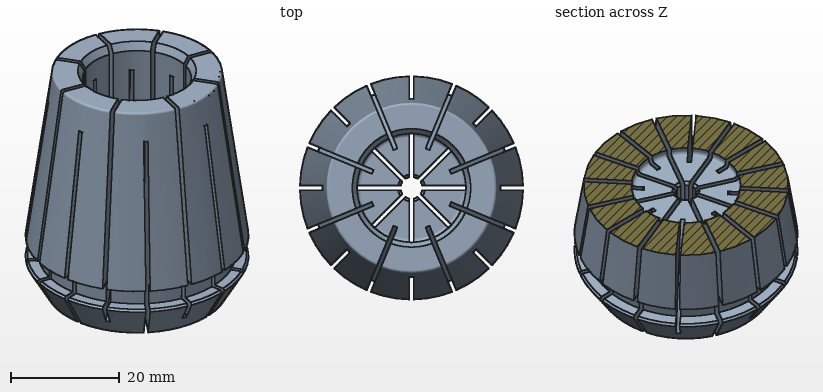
import cadquery as cq
import math

LENGTH = 46.0
MAX_RADIUS = 20.55

NOSE_HALF_ANGLE = 30.0
NOSE_BASE_RADIUS = 16.75
LIP_CHAMFER_DROP = 0.4
LIP_CHAMFER_INSET = 0.4

GROOVE_RADIUS = 18.15
GROOVE_WIDTH = 4.0

TAPER_HALF_ANGLE = 8.0
BACK_EDGE_FILLET = 0.5

HOLE_RADIUS = 2.0
HOLE_CHAMFER = 0.5
RELIEF_RADIUS = 10.0
RELIEF_FLOOR_FILLET = 0.7
RELIEF_MOUTH_WIDENING = 0.9
RELIEF_MOUTH_DEPTH = 1.5

SLOT_COUNT = 8
SLOT_WIDTH = 0.8
NOSE_SLOT_TOP_Z = 40.4
BACK_SLOT_BOTTOM_Z = 3.0
BACK_SLOT_INNER_RADIUS = 7.7
BACK_SLOT_FLOOR_ANGLE = 60.0
SLOT_OVERRUN = 1.0

nose_top_z = (MAX_RADIUS - NOSE_BASE_RADIUS) / math.tan(math.radians(NOSE_HALF_ANGLE))
groove_bottom_z = nose_top_z + LIP_CHAMFER_DROP
groove_top_z = groove_bottom_z + GROOVE_WIDTH
back_radius = MAX_RADIUS - (LENGTH - groove_top_z) * math.tan(math.radians(TAPER_HALF_ANGLE))

slot_exit_radius = NOSE_BASE_RADIUS + BACK_SLOT_BOTTOM_Z * math.tan(math.radians(NOSE_HALF_ANGLE))
back_slot_slope = math.tan(math.radians(BACK_SLOT_FLOOR_ANGLE))
relief_floor_z = BACK_SLOT_BOTTOM_Z + (slot_exit_radius - BACK_SLOT_INNER_RADIUS) * back_slot_slope


def make_body():
    """Solid of revolution with the nose cone, groove and long taper."""
    half_profile = [
        (0, 0),
        (NOSE_BASE_RADIUS, 0),
        (MAX_RADIUS, nose_top_z),
        (MAX_RADIUS - LIP_CHAMFER_INSET, groove_bottom_z),
        (GROOVE_RADIUS, groove_bottom_z),
        (GROOVE_RADIUS, groove_top_z),
        (MAX_RADIUS, groove_top_z),
        (back_radius, LENGTH),
        (0, LENGTH),
    ]
    body = cq.Workplane("XZ").polyline(half_profile).close().revolve(360, (0, 0, 0), (0, 1, 0))
    return body.faces(">Z").edges().fillet(BACK_EDGE_FILLET)


def make_bore():
    """Clamping hole and relief bore as one solid to be removed."""
    hole = cq.Workplane("XY").circle(HOLE_RADIUS).extrude(LENGTH)
    hole_chamfer = (
        cq.Workplane("XY", origin=(0, 0, relief_floor_z))
        .circle(HOLE_RADIUS + HOLE_CHAMFER)
        .extrude(-HOLE_CHAMFER, taper=45)
    )
    relief = (
        cq.Workplane("XY", origin=(0, 0, relief_floor_z))
        .circle(RELIEF_RADIUS)
        .extrude(LENGTH - relief_floor_z)
        .faces("<Z")
        .edges()
        .fillet(RELIEF_FLOOR_FILLET)
    )
    mouth_chamfer = cq.Workplane(
        cq.Solid.makeCone(
            RELIEF_RADIUS,
            RELIEF_RADIUS + RELIEF_MOUTH_WIDENING,
            RELIEF_MOUTH_DEPTH,
            pnt=cq.Vector(0, 0, LENGTH - RELIEF_MOUTH_DEPTH),
        )
    )
    return hole.union(hole_chamfer).union(relief).union(mouth_chamfer)


def make_slot(side_profile, angle):
    """Radial slot with the given (radius, height) side profile, turned to an angle about Z."""
    return (
        cq.Workplane("XZ")
        .polyline(side_profile)
        .close()
        .extrude(SLOT_WIDTH / 2, both=True)
        .rotate((0, 0, 0), (0, 0, 1), angle)
    )


slot_end_radius = MAX_RADIUS + SLOT_OVERRUN
nose_slot_profile = [
    (0, 0),
    (slot_end_radius, 0),
    (slot_end_radius, NOSE_SLOT_TOP_Z),
    (0, NOSE_SLOT_TOP_Z),
]
back_slot_profile = [
    (BACK_SLOT_INNER_RADIUS, relief_floor_z),
    (slot_exit_radius, BACK_SLOT_BOTTOM_Z),
    (slot_end_radius, BACK_SLOT_BOTTOM_Z),
    (slot_end_radius, LENGTH),
    (BACK_SLOT_INNER_RADIUS, LENGTH),
]
slot_pitch = 360 / SLOT_COUNT

result = make_body().cut(make_bore())
for index in range(SLOT_COUNT):
    nose_slot_angle = index * slot_pitch
    back_slot_angle = nose_slot_angle + slot_pitch / 2
    result = result.cut(make_slot(nose_slot_profile, nose_slot_angle))
    result = result.cut(make_slot(back_slot_profile, back_slot_angle))